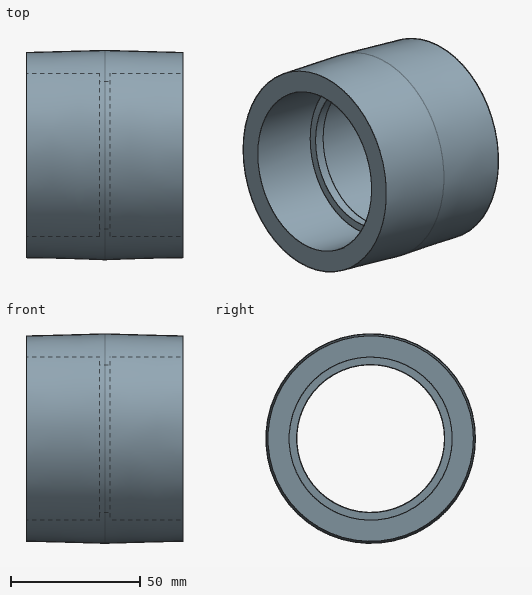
import cadquery as cq

length = 60.5
crown_diameter = 81.0
end_diameter = 79.4
socket_diameter = 63.0
bore_diameter = 57.0
stop_width = 4.05

half_length = length / 2
stop_half_width = stop_width / 2
crown_radius = crown_diameter / 2
end_radius = end_diameter / 2
socket_radius = socket_diameter / 2
bore_radius = bore_diameter / 2

profile = [
    (-half_length, socket_radius),
    (-half_length, end_radius),
    (0, crown_radius),
    (half_length, end_radius),
    (half_length, socket_radius),
    (stop_half_width, socket_radius),
    (stop_half_width, bore_radius),
    (-stop_half_width, bore_radius),
    (-stop_half_width, socket_radius),
]

result = cq.Workplane("XY").polyline(profile).close().revolve(360, (0, 0, 0), (1, 0, 0))